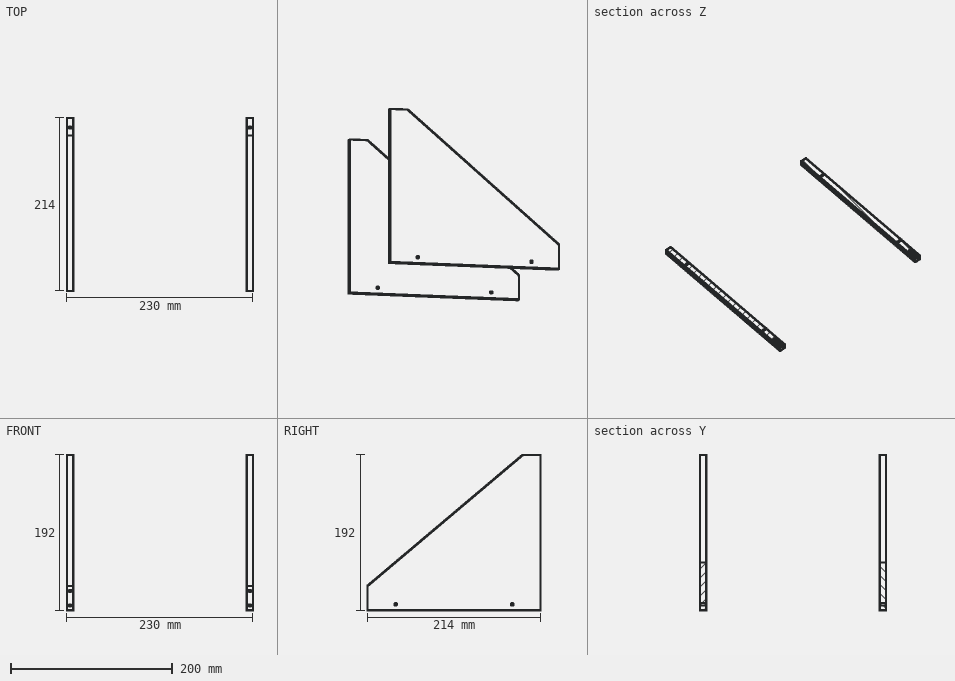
import cadquery as cq

overall_width = 230.0
panel_depth = 214.0
panel_height = 192.0
panel_thickness = 8.0

top_flat = 22.0
front_flat = 30.0

hole_diameter = 2.53
blind_hole_depth = 15.0
front_hole_heights = (6.0, 24.0)
top_hole_setback = 12.0
side_hole_inset = 35.0
side_hole_height = 7.3

panel_offset = (overall_width - panel_thickness) / 2
front_y = -panel_depth / 2
back_y = panel_depth / 2


def screw_hole(start, direction, depth):
    """Cylinder that cuts a hole from a start point along a direction."""
    return cq.Solid.makeCylinder(hole_diameter / 2, depth, cq.Vector(*start), cq.Vector(*direction))


def side_panel(center_x):
    """Upright panel with a sloping front edge, standing on Z = 0."""
    panel = (
        cq.Workplane("YZ", origin=(center_x - panel_thickness / 2, 0, 0))
        .moveTo(front_y, 0)
        .lineTo(back_y, 0)
        .lineTo(back_y, panel_height)
        .lineTo(back_y - top_flat, panel_height)
        .lineTo(front_y, front_flat)
        .close()
        .extrude(panel_thickness)
    )

    for height in front_hole_heights:
        panel = panel.cut(screw_hole((center_x, front_y, height), (0, 1, 0), blind_hole_depth))

    top_start = (center_x, back_y - top_hole_setback, panel_height)
    panel = panel.cut(screw_hole(top_start, (0, 0, -1), blind_hole_depth))

    for hole_y in (front_y + side_hole_inset, back_y - side_hole_inset):
        side_start = (center_x - panel_thickness / 2, hole_y, side_hole_height)
        panel = panel.cut(screw_hole(side_start, (1, 0, 0), panel_thickness))

    return panel.solids()


panels = [side_panel(center_x) for center_x in (-panel_offset, panel_offset)]

result = cq.Compound.makeCompound([panel.val() for panel in panels])